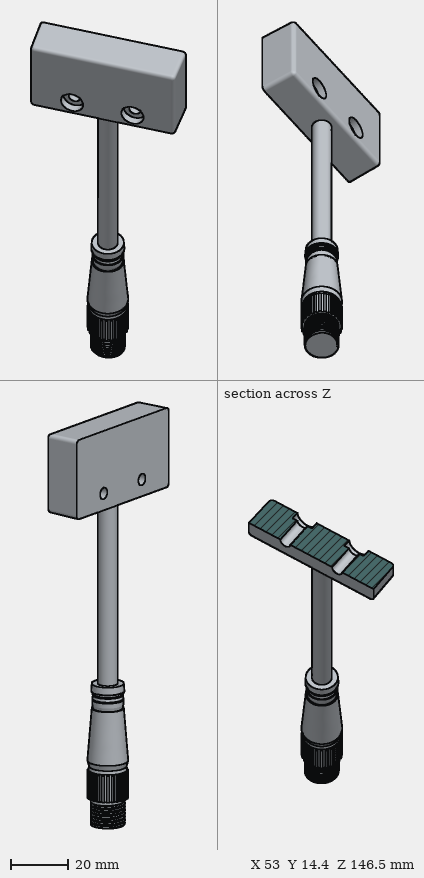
import cadquery as cq
import math

TOTAL_HEIGHT = 146.5

HOUSING_WIDTH = 53.0
HOUSING_HEIGHT = 28.8
HOUSING_DEPTH = 13.5
HOUSING_BACK_Y = 6.6
HOUSING_FRONT_Y = HOUSING_BACK_Y - HOUSING_DEPTH
HOUSING_BOTTOM = TOTAL_HEIGHT - HOUSING_HEIGHT
DRAFT_ANGLE = 1.0
DRAFT_INSET = HOUSING_DEPTH * math.tan(math.radians(DRAFT_ANGLE))
EDGE_RADIUS = 1.5

HOLE_SPACING = 22.0
HOLE_HEIGHT = 6.2
HOLE_DIAMETER = 4.1
COUNTERBORE_DIAMETER = 8.0
COUNTERBORE_DEPTH = 3.0

CABLE_DIAMETER = 7.0
CABLE_TOP = HOUSING_BOTTOM + DRAFT_INSET

THREAD_TOP = 9.8
KNURL_TOP = 19.8
NECK_HEIGHT = 21.1
BODY_BOTTOM = 23.1
BODY_TOP = 42.2
LOWER_RIB_EDGE = 43.5
LOWER_RIB_TOP = 45.2
MIDDLE_RIB_EDGE = 45.7
MIDDLE_RIB_TOP = 46.9
UPPER_RIB_EDGE = 47.5
COLLAR_BOTTOM = 48.3
COLLAR_TOP = 51.1

KNURL_DIAMETER = 14.4
KNURL_ROOT_DIAMETER = 13.6
NECK_DIAMETER = 13.2
BODY_BOTTOM_DIAMETER = KNURL_DIAMETER
BODY_TOP_DIAMETER = 11.3
RIB_DIAMETER = 11.0
RIB_ROOT_DIAMETER = 10.4
COLLAR_BOTTOM_DIAMETER = 11.7
COLLAR_TOP_DIAMETER = 11.3

FLUTE_COUNT = 25
FLUTE_WIDTH = 0.9
FLUTE_DEPTH = (KNURL_DIAMETER - KNURL_ROOT_DIAMETER) / 2
TOOTH_ANGLE = 225.0
FIRST_FLUTE_ANGLE = TOOTH_ANGLE + 180 / FLUTE_COUNT

THREAD_DIAMETER = 12.0
THREAD_PITCH = 1.2
THREAD_DEPTH = 0.66
THREAD_START = -0.63
GROOVE_OPENING = 0.9 * THREAD_PITCH
GROOVE_OVERSHOOT = 0.1


def make_housing():
    """Block drafted on both sides and the bottom, rounded except around its back face."""
    half_back = HOUSING_WIDTH / 2
    half_front = half_back - DRAFT_INSET
    plan = (
        cq.Workplane("XY", origin=(0, 0, HOUSING_BOTTOM))
        .moveTo(-half_back, HOUSING_BACK_Y)
        .lineTo(half_back, HOUSING_BACK_Y)
        .lineTo(half_front, HOUSING_FRONT_Y)
        .lineTo(-half_front, HOUSING_FRONT_Y)
        .close()
        .extrude(HOUSING_HEIGHT)
    )
    side = (
        cq.Workplane("YZ")
        .moveTo(HOUSING_BACK_Y, HOUSING_BOTTOM)
        .lineTo(HOUSING_BACK_Y, TOTAL_HEIGHT)
        .lineTo(HOUSING_FRONT_Y, TOTAL_HEIGHT)
        .lineTo(HOUSING_FRONT_Y, HOUSING_BOTTOM + DRAFT_INSET)
        .close()
        .extrude(half_back, both=True)
    )
    block = plan.intersect(side)
    block = block.edges("not(>Y)").fillet(EDGE_RADIUS)
    return block.cut(make_hole_tools())


def make_hole_tools():
    """Stepped cylinders that cut the two mounting holes from the front."""
    face = cq.Workplane("XZ", origin=(0, HOUSING_FRONT_Y, HOUSING_BOTTOM + HOLE_HEIGHT))
    centers = [(-HOLE_SPACING / 2, 0), (HOLE_SPACING / 2, 0)]
    bores = face.pushPoints(centers).circle(HOLE_DIAMETER / 2).extrude(-HOUSING_DEPTH)
    counterbores = face.pushPoints(centers).circle(COUNTERBORE_DIAMETER / 2).extrude(-COUNTERBORE_DEPTH)
    return bores.union(counterbores)


def make_plug_blank():
    """Turned shape of the plug and the cable, from the plug tip up to the housing."""
    return (
        cq.Workplane("XZ")
        .moveTo(0, 0)
        .lineTo(THREAD_DIAMETER / 2, 0)
        .lineTo(THREAD_DIAMETER / 2, THREAD_TOP)
        .lineTo(KNURL_DIAMETER / 2, THREAD_TOP)
        .lineTo(KNURL_DIAMETER / 2, KNURL_TOP - FLUTE_DEPTH)
        .lineTo(KNURL_ROOT_DIAMETER / 2, KNURL_TOP)
        .lineTo(NECK_DIAMETER / 2, NECK_HEIGHT)
        .lineTo(BODY_BOTTOM_DIAMETER / 2, BODY_BOTTOM)
        .lineTo(BODY_TOP_DIAMETER / 2, BODY_TOP)
        .lineTo(RIB_ROOT_DIAMETER / 2, BODY_TOP)
        .lineTo(RIB_DIAMETER / 2, LOWER_RIB_EDGE)
        .lineTo(RIB_DIAMETER / 2, LOWER_RIB_TOP)
        .lineTo(RIB_ROOT_DIAMETER / 2, LOWER_RIB_TOP)
        .lineTo(RIB_DIAMETER / 2, MIDDLE_RIB_EDGE)
        .lineTo(RIB_ROOT_DIAMETER / 2, MIDDLE_RIB_TOP)
        .lineTo(RIB_DIAMETER / 2, UPPER_RIB_EDGE)
        .lineTo(RIB_ROOT_DIAMETER / 2, COLLAR_BOTTOM)
        .lineTo(COLLAR_BOTTOM_DIAMETER / 2, COLLAR_BOTTOM)
        .lineTo(COLLAR_TOP_DIAMETER / 2, COLLAR_TOP)
        .lineTo(CABLE_DIAMETER / 2, COLLAR_TOP)
        .lineTo(CABLE_DIAMETER / 2, CABLE_TOP)
        .lineTo(0, CABLE_TOP)
        .close()
        .revolve(360, (0, 0, 0), (0, 1, 0))
    )


def make_flute_tools():
    """Rectangular bars that cut the flutes of the grip."""
    return (
        cq.Workplane("XY", origin=(0, 0, THREAD_TOP))
        .polarArray(KNURL_DIAMETER / 2, FIRST_FLUTE_ANGLE, 360, FLUTE_COUNT)
        .rect(2 * FLUTE_DEPTH, FLUTE_WIDTH)
        .extrude(KNURL_TOP - THREAD_TOP)
    )


def make_thread_tool():
    """Triangular bar wound along a right-handed helix, cutting the thread groove."""
    radius = THREAD_DIAMETER / 2
    outer_radius = radius + GROOVE_OVERSHOOT
    half_opening = GROOVE_OPENING / 2
    height = THREAD_TOP - GROOVE_OPENING - THREAD_START
    helix = cq.Wire.makeHelix(THREAD_PITCH, height, radius, center=cq.Vector(0, 0, THREAD_START))
    return (
        cq.Workplane("XZ", origin=(0, 0, THREAD_START))
        .moveTo(outer_radius, -half_opening)
        .lineTo(outer_radius, half_opening)
        .lineTo(radius - THREAD_DEPTH, 0)
        .close()
        .sweep(cq.Workplane(helix), isFrenet=True)
    )


def make_cable(housing):
    """Cable with its moulded plug, ending flush against the housing bottom."""
    blank = make_plug_blank()
    return blank.cut(make_flute_tools()).cut(make_thread_tool()).cut(housing)


housing = make_housing()
cable = make_cable(housing)

result = cq.Compound.makeCompound([housing.val(), *cable.vals()])